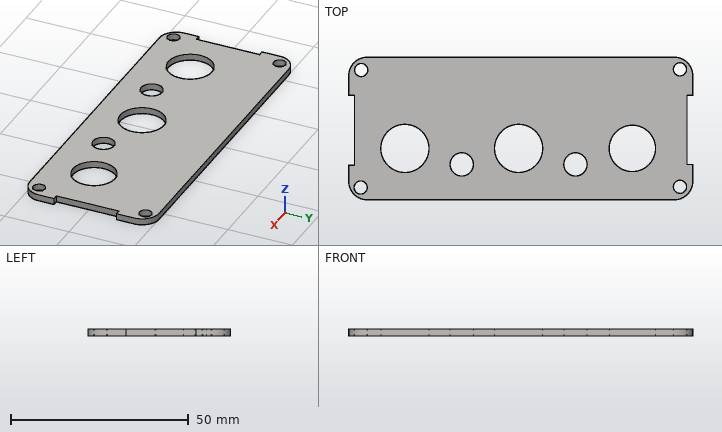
import cadquery as cq

LENGTH = 96.9
WIDTH = 40.23
THICKNESS = 2.0
CORNER_RADIUS = 5.3

NOTCH_DEPTH = 1.6
NOTCH_TOP_Y = 9.3
LEFT_NOTCH_BOTTOM_Y = -10.3
RIGHT_NOTCH_BOTTOM_Y = -10.1

LARGE_PITCH = 32.0
ROW_CENTER_X = -0.6
LARGE_ROW_Y = -5.6
SMALL_ROW_Y = -10.1
LARGE_DIAMETER = 13.5
RIGHT_LARGE_DIAMETER = 13.0
SMALL_DIAMETER = 6.5

MOUNT_DIAMETER = 3.65
MOUNT_CENTERS = [
    (-44.9, 16.45),
    (44.8, 16.65),
    (-45.05, -16.6),
    (44.8, -16.4),
]


def make_plate():
    """Flat rectangular plate with rounded corners."""
    plate = cq.Workplane("XY").box(LENGTH, WIDTH, THICKNESS, centered=(True, True, False))
    return plate.edges("|Z").fillet(CORNER_RADIUS)


def cut_notch(plate, side, bottom_y):
    """Cut a notch in the short edge on the given side (-1 left, +1 right)."""
    edge_x = side * LENGTH / 2
    floor_x = edge_x - side * NOTCH_DEPTH
    notch = (
        cq.Workplane("XY")
        .moveTo(floor_x, bottom_y)
        .lineTo(edge_x, bottom_y)
        .lineTo(edge_x, NOTCH_TOP_Y)
        .lineTo(floor_x, NOTCH_TOP_Y)
        .close()
        .extrude(THICKNESS)
    )
    return plate.cut(notch)


def cut_holes(plate, centers, diameter):
    """Cut equal round holes through the plate."""
    holes = cq.Workplane("XY").pushPoints(centers).circle(diameter / 2).extrude(THICKNESS)
    return plate.cut(holes)


left_x = ROW_CENTER_X - LARGE_PITCH
right_x = ROW_CENTER_X + LARGE_PITCH
large_centers = [(left_x, LARGE_ROW_Y), (ROW_CENTER_X, LARGE_ROW_Y)]
small_centers = [(ROW_CENTER_X + side * LARGE_PITCH / 2, SMALL_ROW_Y) for side in (-1, 1)]

result = make_plate()
result = cut_notch(result, -1, LEFT_NOTCH_BOTTOM_Y)
result = cut_notch(result, 1, RIGHT_NOTCH_BOTTOM_Y)
result = cut_holes(result, large_centers, LARGE_DIAMETER)
result = cut_holes(result, [(right_x, LARGE_ROW_Y)], RIGHT_LARGE_DIAMETER)
result = cut_holes(result, small_centers, SMALL_DIAMETER)
result = cut_holes(result, MOUNT_CENTERS, MOUNT_DIAMETER)